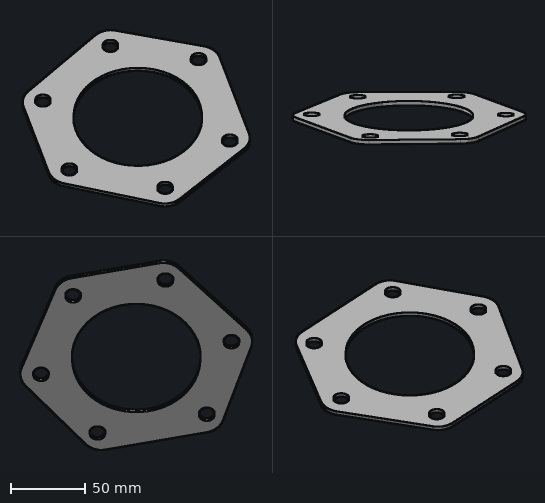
import cadquery as cq

thickness = 3.2
half_width = 79.5
top_edge = 67.9
bottom_edge = -71.4
corner_radius = 14.3
bore_diameter = 86.6

side_center_x = half_width - corner_radius
top_center_x = 35.0
bottom_center_x = 30.4

hole_diameter = 10.5
bolt_circle_radius = 65.5
hole_angles = [0, 55, 125, 180, 241, 299]


def corner_tangents(previous, center, following):
    """Start, middle and end of a corner arc on a counter-clockwise outline."""
    def outward(start, end):
        along = (end - start).normalized()
        return cq.Vector(along.y, -along.x)

    normal_in = outward(previous, center)
    normal_out = outward(center, following)
    normal_middle = (normal_in + normal_out).normalized()
    return [center + normal * corner_radius for normal in (normal_in, normal_middle, normal_out)]


def make_plate():
    """Six-sided plate whose straight sides run tangent to the corner arcs."""
    top_center_y = top_edge - corner_radius
    bottom_center_y = bottom_edge + corner_radius
    centers = [
        cq.Vector(side_center_x, 0),
        cq.Vector(top_center_x, top_center_y),
        cq.Vector(-top_center_x, top_center_y),
        cq.Vector(-side_center_x, 0),
        cq.Vector(-bottom_center_x, bottom_center_y),
        cq.Vector(bottom_center_x, bottom_center_y),
    ]
    count = len(centers)
    corners = [
        corner_tangents(centers[i - 1], centers[i], centers[(i + 1) % count])
        for i in range(count)
    ]
    outline = cq.Workplane("XY").moveTo(*corners[0][0].toTuple()[:2])
    for i, (start, middle, end) in enumerate(corners):
        if i > 0:
            outline = outline.lineTo(start.x, start.y)
        outline = outline.threePointArc((middle.x, middle.y), (end.x, end.y))
    return outline.close().extrude(thickness)


def make_cutters():
    """Central bore and bolt holes, all through the plate."""
    cutters = cq.Workplane("XY").circle(bore_diameter / 2).extrude(thickness)
    for angle in hole_angles:
        hole = cq.Workplane("XY").center(bolt_circle_radius, 0).circle(hole_diameter / 2).extrude(thickness)
        cutters = cutters.union(hole.rotate((0, 0, 0), (0, 0, 1), angle))
    return cutters


result = make_plate().cut(make_cutters())